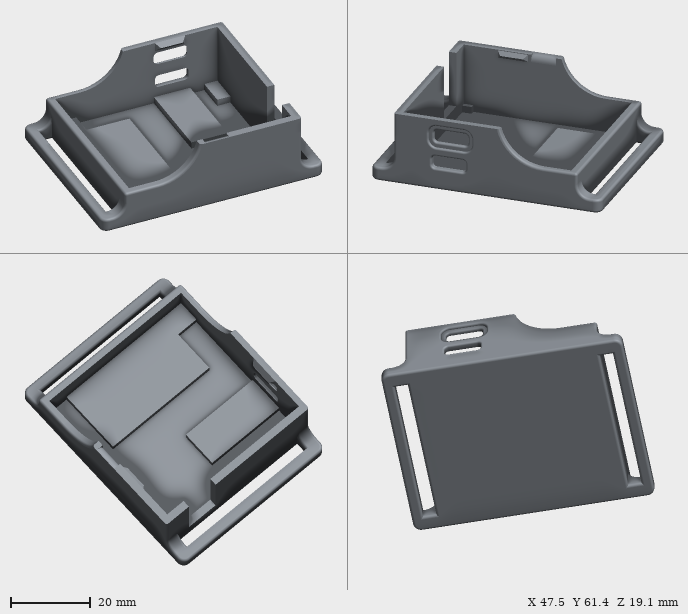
import cadquery as cq
import math

length_x = 47.45
length_y = 61.4
height = 19.1
edge_round = 0.7

flange_height = 3.6
flange_corner_radius = 2.0
strap_bar_width = 2.9
strap_slot_width = 3.4
strap_slot_length = 39.5

floor_thickness = 1.0
wall = 2.0
left_wall = 1.6
front_wall_height = 10.05
step_radius = 11.95
step_start_y = -15.3

block_height = 1.85
side_block_x, side_block_y = 22.3, 10.0
side_block_centre_y = 9.9
corner_block_x, corner_block_y = 7.75, 3.6
corner_post_x, corner_post_y = 1.2, 2.5
front_block_x, front_block_y = 38.1, 5.85
front_block_rear_x, front_block_rear_y = 32.05, 11.85

notch_left_x = 7.35
notch_width = 8.9
notch_bottom = 4.4

window_size = (9.25, 3.5)
window_corner_radius = 1.05
window_edge_round = 0.5
upper_window_y, upper_window_z = 9.45, 14.3
lower_window_y, lower_window_z = 9.8, 7.35
recess_size = (11.65, 6.1)
recess_corner_radius = 2.3
recess_depth = 0.7

left_snap_depth = 1.15
right_snap_depth = 1.0
snap_tip_length = 6.1
snap_y, snap_z = 9.3, 17.9
relief_y, relief_length = 1.15, 6.55
relief_radius = wall

half_x = length_x / 2
half_y = length_y / 2
tub_half_y = half_y - strap_bar_width - strap_slot_width
blend_radius = strap_slot_width
blend_top = flange_height + blend_radius
cavity_left = -half_x + left_wall
cavity_right = half_x - wall
cavity_front = -tub_half_y + wall
cavity_back = tub_half_y - wall
slot_half_length = strap_slot_length / 2
mouth_half_length = slot_half_length + edge_round
round_mid = edge_round * math.sqrt(0.5)
tolerance = 0.005


def box(x0, x1, y0, y1, z0, z1):
    """Box between two opposite corners."""
    return cq.Workplane("XY").box(x1 - x0, y1 - y0, z1 - z0, centered=False).translate((x0, y0, z0))


def is_upper_outline_edge(edge):
    """True for the side outline edges from the flange top up to, but not along, the rim."""
    centre = edge.Center()
    on_side = abs(abs(centre.x) - half_x) < tolerance
    return on_side and flange_height < centre.z < height - tolerance


def make_flange():
    """Flange plate with rounded corners, rounded along its top edge."""
    plate = box(-half_x, half_x, -half_y, half_y, 0, flange_height)
    return plate.edges("|Z").fillet(flange_corner_radius).faces(">Z").edges().fillet(edge_round)


def make_upper_body():
    """Solid tub body: a stepped side outline that blends into the flange at the front and the back."""
    step_drop = height - front_wall_height
    step_end_y = step_start_y + math.sqrt(step_radius**2 - (step_radius - step_drop) ** 2)
    half_angle = math.acos(1 - step_drop / step_radius) / 2
    step_mid = (
        step_start_y + step_radius * math.sin(half_angle),
        front_wall_height + step_radius * (1 - math.cos(half_angle)),
    )
    blend_end_y = tub_half_y + blend_radius
    blend_mid_y = blend_end_y - blend_radius * math.sqrt(0.5)
    blend_mid_z = blend_top - blend_radius * math.sqrt(0.5)
    body = (
        cq.Workplane("YZ")
        .moveTo(-blend_end_y, edge_round)
        .lineTo(blend_end_y, edge_round)
        .lineTo(blend_end_y, flange_height)
        .threePointArc((blend_mid_y, blend_mid_z), (tub_half_y, blend_top))
        .lineTo(tub_half_y, height)
        .lineTo(step_end_y, height)
        .threePointArc(step_mid, (step_start_y, front_wall_height))
        .lineTo(-tub_half_y, front_wall_height)
        .lineTo(-tub_half_y, blend_top)
        .threePointArc((-blend_mid_y, blend_mid_z), (-blend_end_y, flange_height))
        .close()
        .extrude(half_x, both=True)
    )
    front_wall_top = cq.selectors.NearestToPointSelector((0, -tub_half_y, front_wall_height))
    body = body.edges(front_wall_top).fillet(edge_round)
    return body.edges().filter(is_upper_outline_edge).fillet(edge_round)


def make_strap_slot(side):
    """Strap slot cutter whose ends have a rounded edge along the blend; side is +1 back, -1 front."""
    slot_y = side * (tub_half_y + strap_slot_width / 2)
    blend_axis_y = side * (tub_half_y + blend_radius)
    slot = cq.Workplane("XY").box(strap_slot_length, strap_slot_width, 2 * height)
    slot = slot.translate((0, slot_y, 0))
    ends = (
        cq.Workplane("XY", origin=(0, blend_axis_y, blend_top))
        .moveTo(mouth_half_length, 0)
        .lineTo(mouth_half_length, -blend_radius)
        .threePointArc(
            (mouth_half_length - round_mid, -blend_radius - edge_round + round_mid),
            (slot_half_length, -blend_radius - edge_round),
        )
        .lineTo(-slot_half_length, -blend_radius - edge_round)
        .threePointArc(
            (-mouth_half_length + round_mid, -blend_radius - edge_round + round_mid),
            (-mouth_half_length, -blend_radius),
        )
        .lineTo(-mouth_half_length, 0)
        .close()
        .revolve(360, (0, 0, 0), (1, 0, 0))
    )
    limit = cq.Workplane("XY").box(length_x, strap_slot_width, blend_top, centered=(True, True, False))
    return slot.union(ends.intersect(limit.translate((0, slot_y, 0))))


def make_front_bar_rounding():
    """Cutter that rounds the slot side of the front strap bar, mitred at both ends."""
    bar_edge_y = -tub_half_y - strap_slot_width
    bottom = flange_height - edge_round
    mid_z = flange_height - edge_round + round_mid
    edge = (
        cq.Workplane("YZ")
        .moveTo(bar_edge_y, bottom)
        .threePointArc((bar_edge_y - edge_round + round_mid, mid_z), (bar_edge_y - edge_round, flange_height))
        .lineTo(bar_edge_y, flange_height)
        .close()
        .extrude(mouth_half_length, both=True)
    )
    mitres = (
        cq.Workplane("XZ")
        .moveTo(-slot_half_length, bottom)
        .lineTo(slot_half_length, bottom)
        .threePointArc((mouth_half_length - round_mid, mid_z), (mouth_half_length, flange_height))
        .lineTo(-mouth_half_length, flange_height)
        .threePointArc((-mouth_half_length + round_mid, mid_z), (-slot_half_length, bottom))
        .close()
        .extrude(half_y)
    )
    return edge.intersect(mitres)


def make_floor_blocks():
    """Four low blocks standing on the tub floor."""
    top = floor_thickness + block_height
    left, right = cavity_left, cavity_right
    front, back = cavity_front, cavity_back
    side_front = side_block_centre_y - side_block_y / 2
    blocks = box(left, left + side_block_x, side_front, side_front + side_block_y, 0, top)
    blocks = blocks.union(box(left, left + corner_block_x, back - corner_block_y, back, 0, top))
    blocks = blocks.union(box(right - corner_post_x, right, back - corner_post_y, back, 0, top))
    front_right = left + front_block_x
    front_rear = front + front_block_y
    blocks = blocks.union(box(left, front_right, front, front_rear, 0, top))
    rear_left = front_right - front_block_rear_x
    return blocks.union(box(rear_left, front_right, front_rear, front_rear + front_block_rear_y, 0, top))


def cut_window(body, centre_y, centre_z, size, corner_radius, x0, x1):
    """Cut a rounded rectangular window from x0 to x1 and round its mouth at x0."""
    length, opening_height = size
    window = (
        cq.Workplane("YZ", origin=(x0, centre_y, centre_z))
        .rect(length, opening_height)
        .extrude(x1 - x0)
        .edges("|X")
        .fillet(corner_radius)
    )
    mouth = cq.selectors.BoxSelector(
        (x0 - tolerance, centre_y - length / 2 - tolerance, centre_z - opening_height / 2 - tolerance),
        (x0 + tolerance, centre_y + length / 2 + tolerance, centre_z + opening_height / 2 + tolerance),
    )
    return body.cut(window).edges(mouth).fillet(window_edge_round)


def make_snap(wall_x, inward, snap_depth):
    """Triangular ridge with 45 degree ends on a side wall; inward is +1 or -1 along X."""
    half_tip = snap_tip_length / 2
    half_base = half_tip + snap_depth
    tip_x = wall_x + inward * snap_depth
    ridge = (
        cq.Workplane("XZ", origin=(0, snap_y + half_base, 0))
        .polyline([(wall_x, snap_z - snap_depth), (tip_x, snap_z), (wall_x, snap_z + snap_depth)])
        .close()
        .extrude(2 * half_base)
    )
    ends = (
        cq.Workplane("XY", origin=(0, snap_y, 0))
        .polyline([(wall_x, -half_base), (tip_x, -half_tip), (tip_x, half_tip), (wall_x, half_base)])
        .close()
        .extrude(height)
    )
    return ridge.intersect(ends)


def make_thumb_relief():
    """Cutter that rounds the inner top edge of the right wall."""
    front = relief_y - relief_length / 2
    axis_x = cavity_right + relief_radius
    axis_z = height - relief_radius
    corner = box(cavity_right, axis_x, front, front + relief_length, axis_z, height)
    rod = (
        cq.Workplane("XZ", origin=(axis_x, front, axis_z))
        .circle(relief_radius)
        .extrude(-relief_length)
    )
    return corner.cut(rod)


result = make_flange().union(make_upper_body())
result = result.cut(make_strap_slot(1))
result = result.cut(make_strap_slot(-1).union(make_front_bar_rounding()))
result = result.faces("<Z").edges().fillet(edge_round)

cavity = box(cavity_left, cavity_right, cavity_front, cavity_back, floor_thickness, height)
notch = box(notch_left_x, notch_left_x + notch_width, cavity_back, tub_half_y, notch_bottom, height)
result = result.cut(cavity).cut(notch).cut(make_thumb_relief())

recess_floor = -half_x + recess_depth
upper_at = (upper_window_y, upper_window_z)
lower_at = (lower_window_y, lower_window_z)
result = cut_window(result, *upper_at, recess_size, recess_corner_radius, -half_x, recess_floor)
result = cut_window(result, *upper_at, window_size, window_corner_radius, recess_floor, cavity_left)
result = cut_window(result, *lower_at, window_size, window_corner_radius, -half_x, cavity_left)

result = result.union(make_floor_blocks())
result = result.union(make_snap(cavity_left, 1, left_snap_depth))
result = result.union(make_snap(cavity_right, -1, right_snap_depth))